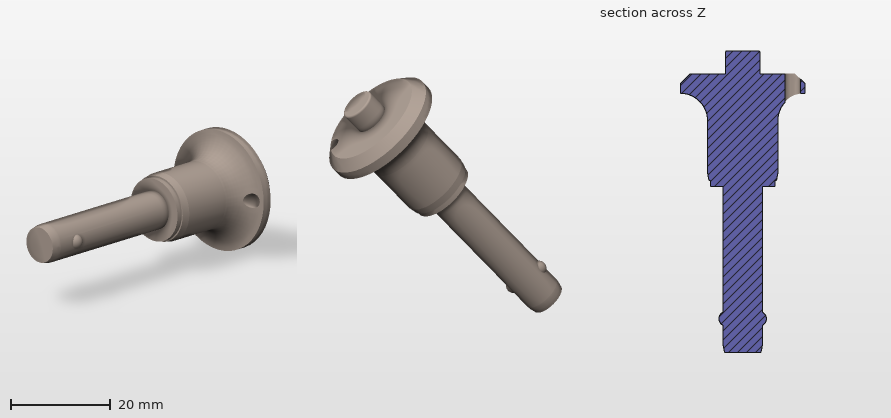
import cadquery as cq
import math


shank_radius = 4.0
shank_length = 33.2
nose_length = 2.0
nose_arc_radius = 6.0

ball_radius = 1.5
ball_span = 9.6
ball_from_tip = 6.8

collar_radius = 6.5
collar_length = 1.2
taper_end_radius = 6.8
taper_length = 1.6
grip_radius = 7.1
grip_length = 10.5
flange_radius = 12.5
rim_length = 2.0
flange_chamfer = 2.0

lanyard_hole_diameter = 3.0
lanyard_hole_offset = 10.0

button_radius = 3.5
button_length = 4.6
button_edge_radius = 0.4

tip_y = -shank_length
taper_start_y = collar_length
grip_start_y = taper_start_y + taper_length
flare_start_y = grip_start_y + grip_length
flare_radius = flange_radius - grip_radius
rim_start_y = flare_start_y + flare_radius
rim_end_y = rim_start_y + rim_length
handle_end_y = rim_end_y + flange_chamfer


def make_shank():
    """Cylindrical shank with a rounded nose, ending inside the handle."""
    def nose_radius_at(distance):
        arc_drop = nose_arc_radius - math.sqrt(nose_arc_radius**2 - distance**2)
        return shank_radius - arc_drop

    nose_start_y = tip_y + nose_length
    half_nose = nose_length / 2
    return (
        cq.Workplane("XY")
        .moveTo(0, tip_y)
        .lineTo(nose_radius_at(nose_length), tip_y)
        .threePointArc(
            (nose_radius_at(half_nose), nose_start_y - half_nose),
            (shank_radius, nose_start_y),
        )
        .lineTo(shank_radius, collar_length)
        .lineTo(0, collar_length)
        .close()
        .revolve(360, (0, 0, 0), (0, 1, 0))
    )


def make_handle():
    """Collar, tapered grip and concave flare opening into a chamfered flange."""
    flare_mid_offset = flare_radius * math.sin(math.radians(45))
    flare_mid = (flange_radius - flare_mid_offset, flare_start_y + flare_mid_offset)
    return (
        cq.Workplane("XY")
        .moveTo(0, 0)
        .lineTo(collar_radius, 0)
        .lineTo(collar_radius, taper_start_y)
        .lineTo(taper_end_radius, taper_start_y)
        .lineTo(grip_radius, grip_start_y)
        .lineTo(grip_radius, flare_start_y)
        .threePointArc(flare_mid, (flange_radius, rim_start_y))
        .lineTo(flange_radius, rim_end_y)
        .lineTo(flange_radius - flange_chamfer, handle_end_y)
        .lineTo(0, handle_end_y)
        .close()
        .revolve(360, (0, 0, 0), (0, 1, 0))
    )


def make_button():
    """Release button standing on the handle end, with a rounded outer edge."""
    return (
        cq.Workplane("XZ", origin=(0, handle_end_y, 0))
        .circle(button_radius)
        .extrude(-button_length)
        .faces(">Y")
        .edges()
        .fillet(button_edge_radius)
    )


def make_ball(side):
    """Locking ball protruding from the shank on the +X or -X side."""
    centre_x = side * (ball_span / 2 - ball_radius)
    return cq.Workplane("XY").sphere(ball_radius).translate((centre_x, tip_y + ball_from_tip, 0))


def make_lanyard_hole():
    """Cutter for the hole that passes through the flange parallel to the axis."""
    return (
        cq.Workplane("XZ", origin=(lanyard_hole_offset, flare_start_y, 0))
        .circle(lanyard_hole_diameter / 2)
        .extrude(flare_start_y - handle_end_y)
    )


handle = make_handle().cut(make_lanyard_hole())
result = handle.union(make_shank()).union(make_button())
for side in (-1, 1):
    result = result.union(make_ball(side))